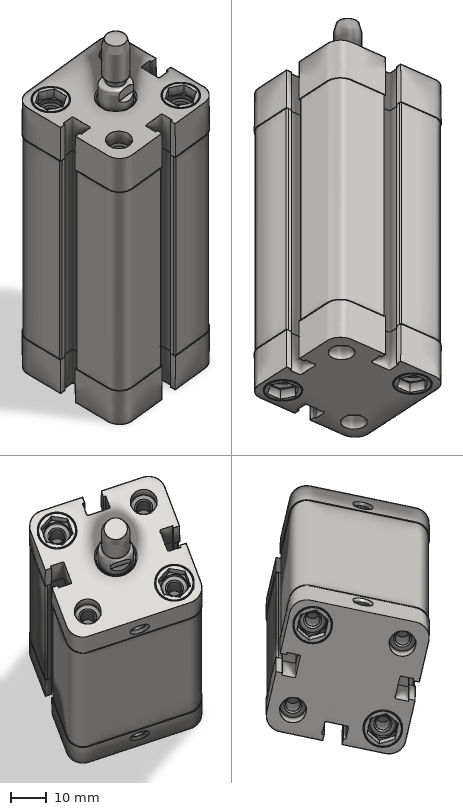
import cadquery as cq
import math

cutter_clearance = 0.6

total_height = 121.0
cap_width = 40.3
cap_height = 12.6
cap_draft = 0.5
barrel_width = 39.8
barrel_height = 73.9
corner_radius = 5.0
barrel_corner_radius = corner_radius - (cap_width - barrel_width) / 2
front_cap_z = cap_height + barrel_height

slot_mouth_width = 5.6
slot_inner_width = 6.9
slot_lip = 1.9
slot_depth = 5.8
slot_floor_fillet = 0.5
slot_mouth_chamfer = 0.5
slot_angles = (-90, 0, 90)

thread_bore_diameter = 4.1
thread_depth = 7.3
port_height = 7.7
port_mouth_diameter = 5.8
port_depth = 4.8
mount_offset = 13.0
mount_mouth_diameter = 5.1
mount_recess_diameter = 7.5
mount_recess_depth = 4.5

head_gap_diameter = 11.1
head_diameter = 10.9
head_gap_depth = 1.2
head_chamfer = 0.2
socket_corner_diameter = 9.2
socket_relief_diameter = 8.1
socket_hex_depth = 3.1
socket_bore_diameter = 7.5
socket_bore_depth = 4.5

rod_diameter = 10.0
rod_shoulder_z = 105.4
rod_shoulder_fillet = 1.7
flat_width = 8.0
flat_bottom_z = 101.9
neck_diameter = 5.8
neck_top_z = 107.2
stud_diameter = 8.0
stud_bottom_z = 107.9
stud_taper_z = 118.2
stud_tip_diameter = 6.5
rod_seat_diameter = 12.0
rod_clearance_diameter = 11.1
rod_clearance_depth = 1.2
rod_seat_chamfer = (rod_seat_diameter - rod_clearance_diameter) / 2


def slot_cutter(face_distance, height, mouth_chamfer=0.0):
    """T-slot cutters on three sides of a block whose side faces lie at face_distance."""
    outside = face_distance + cutter_clearance
    mouth = slot_mouth_width / 2
    inner = slot_inner_width / 2
    lip = cap_width / 2 - slot_lip
    floor = cap_width / 2 - slot_depth
    half = [(floor, inner), (lip, inner), (lip, mouth)]
    if mouth_chamfer:
        half += [(face_distance - mouth_chamfer, mouth), (face_distance, mouth + mouth_chamfer)]
    half += [(outside, half[-1][1])]
    mirrored = [(x, -y) for x, y in reversed(half)]
    cutter = cq.Workplane("XY").polyline(half + mirrored).close().extrude(height)
    cutter = cutter.faces("<X").edges("|Z").fillet(slot_floor_fillet)
    cutters = cq.Workplane("XY")
    for angle in slot_angles:
        cutters = cutters.union(cutter.rotate((0, 0, 0), (0, 0, 1), angle))
    return cutters


def rounded_square(width, radius):
    return cq.Sketch().rect(width, width).vertices().fillet(radius)


def countersunk_bore(mouth_diameter, depth):
    """Cutter for a threaded hole with a 45-degree mouth, opening at Z = 0 and going down."""
    bore = thread_bore_diameter / 2
    mouth = mouth_diameter / 2
    profile = [
        (0, cutter_clearance),
        (mouth, cutter_clearance),
        (mouth, 0),
        (bore, bore - mouth),
        (bore, -depth),
        (0, -depth),
    ]
    return cq.Workplane("XZ").polyline(profile).close().revolve(360, (0, 0, 0), (0, 1, 0))


def mount_hole():
    """Cutter for a plain mounting hole: a recess with a threaded hole in its floor."""
    recess = cq.Workplane("XY").circle(mount_recess_diameter / 2).extrude(-mount_recess_depth)
    thread = countersunk_bore(mount_mouth_diameter, thread_depth).translate((0, 0, -mount_recess_depth))
    return recess.union(thread)


def screw_head_cut():
    """Cutter for a flush socket head: a gap around the head, its hex socket and a threaded hole."""
    gap = cq.Workplane("XY").circle(head_gap_diameter / 2).extrude(-head_gap_depth)
    head = cq.Workplane("XY").circle(head_diameter / 2).extrude(-head_gap_depth)
    head = head.faces(">Z").chamfer(head_chamfer)
    hexagon = cq.Workplane("XY").polygon(6, socket_corner_diameter).extrude(-socket_hex_depth)
    relief = cq.Workplane("XY").circle(socket_relief_diameter / 2).extrude(-socket_hex_depth)
    bore = cq.Workplane("XY").circle(socket_bore_diameter / 2).extrude(-socket_bore_depth)
    thread = countersunk_bore(mount_mouth_diameter, thread_depth).translate((0, 0, -socket_bore_depth))
    return gap.cut(head).union(hexagon).union(relief).union(bore).union(thread)


def end_cap():
    """Cap with its barrel joint on Z = 0 and its free end up."""
    outline = rounded_square(cap_width, corner_radius)
    cap = cq.Workplane("XY").placeSketch(outline).extrude(cap_height, taper=cap_draft)
    cap = cap.cut(slot_cutter(cap_width / 2, cap_height))
    for side in (-1, 1):
        screw_place = (side * mount_offset, side * mount_offset, cap_height)
        mount_place = (side * mount_offset, -side * mount_offset, cap_height)
        cap = cap.cut(screw_head_cut().translate(screw_place))
        cap = cap.cut(mount_hole().translate(mount_place))
    port_z = cap_height - port_height
    draft_inset = port_z * math.tan(math.radians(cap_draft))
    port = countersunk_bore(port_mouth_diameter, port_depth).rotate((0, 0, 0), (0, 1, 0), -90)
    return cap.cut(port.translate((-cap_width / 2 + draft_inset, 0, port_z)))


def make_front_cap():
    """End cap with the chamfered passage of the rod."""
    seat_profile = [
        (0, 0),
        (rod_diameter / 2, 0),
        (rod_diameter / 2, cap_height - rod_clearance_depth),
        (rod_clearance_diameter / 2, cap_height - rod_clearance_depth),
        (rod_clearance_diameter / 2, cap_height - rod_seat_chamfer),
        (rod_seat_diameter / 2, cap_height),
        (0, cap_height),
    ]
    passage = cq.Workplane("XZ").polyline(seat_profile).close().revolve(360, (0, 0, 0), (0, 1, 0))
    return end_cap().cut(passage).translate((0, 0, front_cap_z))


def make_rear_cap():
    """End cap turned over about the X axis, so that its ports and slots keep their sides."""
    return end_cap().rotate((0, 0, 0), (1, 0, 0), 180).translate((0, 0, cap_height))


def make_barrel():
    outline = rounded_square(barrel_width, barrel_corner_radius)
    barrel = cq.Workplane("XY").placeSketch(outline).extrude(barrel_height)
    barrel = barrel.cut(slot_cutter(barrel_width / 2, barrel_height, slot_mouth_chamfer))
    return barrel.translate((0, 0, cap_height))


def make_rod():
    """Rod resting on the barrel, with a wrench-flatted shoulder, a neck and a tapered stud."""
    shoulder = (
        cq.Workplane("XY", origin=(0, 0, front_cap_z))
        .circle(rod_diameter / 2)
        .extrude(rod_shoulder_z - front_cap_z)
        .faces(">Z")
        .edges()
        .fillet(rod_shoulder_fillet)
    )
    run_out = (rod_diameter - flat_width) / 2
    flat_profile = [
        (flat_width / 2, rod_shoulder_z),
        (flat_width / 2, flat_bottom_z),
        (rod_diameter / 2, flat_bottom_z - run_out),
        (rod_diameter / 2, rod_shoulder_z),
    ]
    flat = cq.Workplane("XZ").polyline(flat_profile).close().extrude(rod_diameter / 2, both=True)
    shoulder = shoulder.cut(flat).cut(flat.mirror("YZ"))
    stud_profile = [
        (0, rod_shoulder_z),
        (neck_diameter / 2, rod_shoulder_z),
        (neck_diameter / 2, neck_top_z),
        (stud_diameter / 2, stud_bottom_z),
        (stud_diameter / 2, stud_taper_z),
        (stud_tip_diameter / 2, total_height),
        (0, total_height),
    ]
    stud = cq.Workplane("XZ").polyline(stud_profile).close().revolve(360, (0, 0, 0), (0, 1, 0))
    return shoulder.union(stud)


front_cap = make_front_cap()
rear_cap = make_rear_cap()
barrel = make_barrel()
rod = make_rod()

result = cq.Compound.makeCompound([front_cap.val(), rear_cap.val(), barrel.val(), rod.val()])